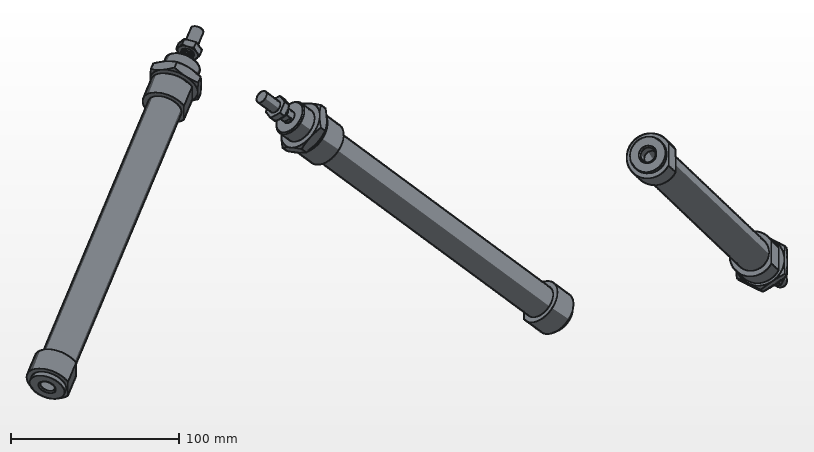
import cadquery as cq
import math

total_length = 274.5
rod_tip_y = total_length / 2
rear_face_y = -total_length / 2

tube_diameter = 21.0
collar_diameter = 28.0
collar_length = 14.8
collar_flat_x = 12.0
boss_diameter = 22.0
boss_chamfer = 0.8
head_boss_length = 18.7
rear_boss_length = 3.0
head_face_y = rod_tip_y - 25.8
barrel_length = head_face_y - rear_face_y

port_diameter = 9.0
port_mouth_diameter = 11.0
port_depth = 8.2
port_point_depth = 2.5
port_mouth_depth = (port_mouth_diameter - port_diameter) / 2

rod_diameter = 8.0
rod_thread_length = 18.7
rod_neck_diameter = 6.5
rod_neck_length = 1.5
rod_flat_width = 6.0
rod_flat_length = 4.0
rod_insertion = head_boss_length + collar_length

rod_nut_width = 13.0
rod_nut_thickness = 4.7
rod_nut_y = rod_tip_y - 12.5
head_nut_width = 30.0
head_nut_thickness = 6.5
head_nut_y = rod_tip_y - 36.0
nut_chamfer_angle = 25


def cylinder(diameter, front_y, length):
    """Cylinder on the Y axis running from front_y toward -Y."""
    direction = cq.Vector(0, -1, 0)
    solid = cq.Solid.makeCylinder(diameter / 2, length, cq.Vector(0, front_y, 0), direction)
    return cq.Workplane(solid)


def collar(front_y):
    """Round collar with one flat on its +X side."""
    size = collar_diameter
    block = cq.Workplane().box(size, collar_length, size)
    block = block.translate((collar_flat_x - size / 2, front_y - collar_length / 2, 0))
    return cylinder(collar_diameter, front_y, collar_length).intersect(block)


def rear_port():
    """Cutter for the countersunk blind hole, revolved about the Y axis."""
    radius = port_diameter / 2
    floor_y = rear_face_y + port_depth
    profile = cq.Workplane("XY").polyline([
        (0, rear_face_y),
        (port_mouth_diameter / 2, rear_face_y),
        (radius, rear_face_y + port_mouth_depth),
        (radius, floor_y),
        (0, floor_y + port_point_depth),
    ]).close()
    return profile.revolve(360, (0, 0, 0), (0, 1, 0))


def make_barrel():
    head_boss = cylinder(boss_diameter, head_face_y, head_boss_length)
    head_boss = head_boss.faces(">Y").chamfer(boss_chamfer)
    rear_collar_y = rear_face_y + rear_boss_length + collar_length
    body = cylinder(tube_diameter, head_face_y - head_boss_length, barrel_length - head_boss_length)
    body = body.union(head_boss)
    body = body.union(collar(head_face_y - head_boss_length))
    body = body.union(collar(rear_collar_y))
    body = body.union(cylinder(boss_diameter, rear_face_y + rear_boss_length, rear_boss_length))
    return body.cut(rear_port()).cut(cylinder(rod_diameter, head_face_y, rod_insertion))


def flat_cutter(front_y, direction):
    """Cutter for one wrench flat, +Z or -Z by direction, that runs out at 45 degrees."""
    flat_z = rod_flat_width / 2
    outer_z = rod_diameter
    flat_end_y = front_y - rod_flat_length
    profile = cq.Workplane("YZ").polyline([
        (front_y, direction * flat_z),
        (front_y, direction * outer_z),
        (flat_end_y - (outer_z - flat_z), direction * outer_z),
        (flat_end_y, direction * flat_z),
    ]).close()
    return profile.extrude(rod_diameter, both=True)


def make_rod():
    neck_y = rod_tip_y - rod_thread_length
    shank_y = neck_y - rod_neck_length
    rod_end_y = head_face_y - rod_insertion
    shank = cylinder(rod_diameter, shank_y, shank_y - rod_end_y)
    for direction in (1, -1):
        shank = shank.cut(flat_cutter(shank_y, direction))
    thread = cylinder(rod_diameter, rod_tip_y, rod_thread_length)
    neck = cylinder(rod_neck_diameter, neck_y, rod_neck_length)
    return thread.union(neck).union(shank)


def make_nut(width, thickness, bore, front_y, turn, chamfer_front):
    """Hexagon nut with its +Y face at front_y; turn rotates the corners about Y from the X axis.

    The corners are always chamfered at the -Y face, and at the +Y face if chamfer_front is set.
    """
    corner_radius = width / 2 / math.cos(math.radians(30))
    hexagon = cq.Workplane("XZ").polygon(6, 2 * corner_radius).extrude(thickness)
    hexagon = hexagon.rotate((0, 0, 0), (0, 1, 0), turn)
    drop = (corner_radius - width / 2) * math.tan(math.radians(nut_chamfer_angle))
    if chamfer_front:
        profile = [(0, 0), (width / 2, 0), (corner_radius, -drop)]
    else:
        profile = [(0, 0), (corner_radius, 0)]
    profile += [(corner_radius, drop - thickness), (width / 2, -thickness), (0, -thickness)]
    envelope = cq.Workplane("XY").polyline(profile).close().revolve(360, (0, 0, 0), (0, 1, 0))
    nut = hexagon.intersect(envelope)
    return nut.translate((0, front_y, 0)).cut(cylinder(bore, front_y, thickness))


barrel = make_barrel()
rod = make_rod()
rod_nut = make_nut(rod_nut_width, rod_nut_thickness, rod_diameter, rod_nut_y, 0, False)
head_nut = make_nut(head_nut_width, head_nut_thickness, boss_diameter, head_nut_y, 30, True)

result = cq.Compound.makeCompound([barrel.val(), rod.val(), rod_nut.val(), head_nut.val()])